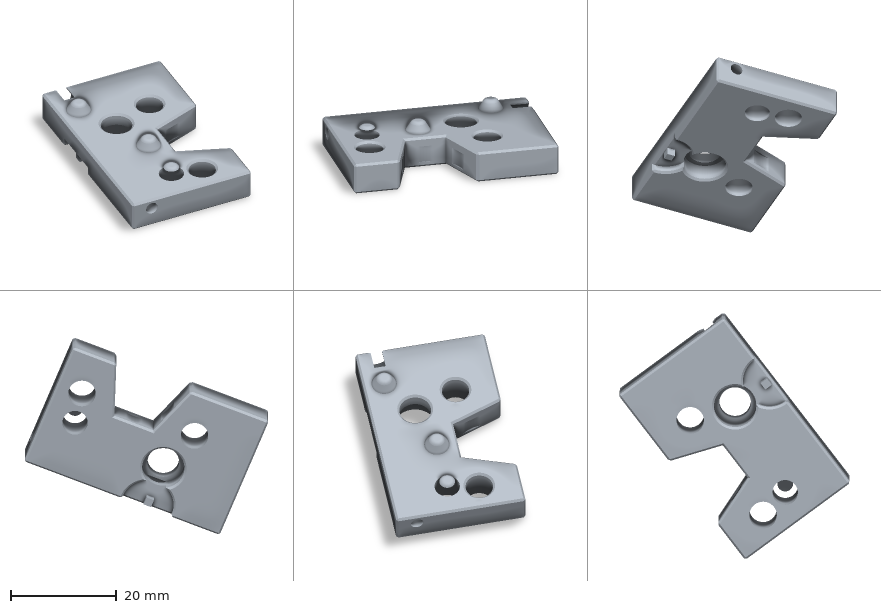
import cadquery as cq
import math

PLATE_LENGTH = 40
PLATE_WIDTH = 25.0
PLATE_HEIGHT = 6
CHAMFER = 0.4

NOTCH_X = 23.6
NOTCH_FLOOR_Y = 15.0
NOTCH_FLOOR_WIDTH = 7.9
NOTCH_WALL_ANGLE = 20

GROOVE_Y = 20.8
GROOVE_RADIUS = 6
GROOVE_BOTTOM = 1.0
GROOVE_HEIGHT = 3.2

HOLE_DIAMETER = 5.2
HOLE_Y = 17.0
HOLE_XS = (12, 35.0)

STEP_X = 15.0
STEP_Y = 8.6
STEP_TOP_DIAMETER = 6
STEP_BORE_DIAMETER = 8.05
STEP_BORE_HEIGHT = 3.5
POCKET_DIAMETER = 10
POCKET_HEIGHT = 1.5
POCKET_Y = 0.5
POST_SIZE = 1.5

LONG_HOLE_DIAMETER = 2.4
LONG_HOLE_Y = 4
LONG_HOLE_Z = 4
COUNTERBORE_DIAMETER = 4.1
COUNTERBORE_DEPTH = 4
SLOT_WIDTH = 2.2

PEG_DIAMETER = 4.8
PEG_TOP_DIAMETER = 2.4
PEG_HEIGHT = 2
PEG_FILLET = 1.0
PEG_CENTERS = ((8, 4), (24, 11.0))
TIP_CENTER = (34, 11.0)
PEG_SLOPE = math.atan2(PEG_HEIGHT, (PEG_DIAMETER - PEG_TOP_DIAMETER) / 2)
TIP_HEIGHT = PEG_FILLET * math.tan(PEG_SLOPE / 2) * math.sin(PEG_SLOPE)


def cylinder(x, y, z, diameter, height):
    """Upright cylinder with its base centre at (x, y, z)."""
    return cq.Workplane("XY", origin=(x, y, z)).circle(diameter / 2).extrude(height)


def cone_along(direction, center, start_diameter, end_diameter, height):
    """Truncated cone that runs from center along direction."""
    base = cq.Vector(*center)
    axis = cq.Vector(*direction)
    return cq.Workplane(cq.Solid.makeCone(start_diameter / 2, end_diameter / 2, height, base, axis))


def make_plate():
    """Notched plate, chamfered on every outer edge."""
    notch_depth = PLATE_WIDTH - NOTCH_FLOOR_Y
    floor_half = NOTCH_FLOOR_WIDTH / 2
    mouth_half = floor_half + notch_depth * math.tan(math.radians(NOTCH_WALL_ANGLE))
    outline = [
        (0, 0),
        (PLATE_LENGTH, 0),
        (PLATE_LENGTH, PLATE_WIDTH),
        (NOTCH_X + mouth_half, PLATE_WIDTH),
        (NOTCH_X + floor_half, NOTCH_FLOOR_Y),
        (NOTCH_X - floor_half, NOTCH_FLOOR_Y),
        (NOTCH_X - mouth_half, PLATE_WIDTH),
        (0, PLATE_WIDTH),
    ]
    plate = cq.Workplane("XY").polyline(outline).close().extrude(PLATE_HEIGHT)
    inner_corners = cq.selectors.BoxSelector(
        (NOTCH_X - mouth_half + CHAMFER, NOTCH_FLOOR_Y - CHAMFER, CHAMFER),
        (NOTCH_X + mouth_half - CHAMFER, NOTCH_FLOOR_Y + CHAMFER, PLATE_HEIGHT - CHAMFER),
    )
    return plate.edges(-inner_corners).chamfer(CHAMFER)


def rim_chamfer(x, y, diameter):
    """Cutter that chamfers the top rim of a hole."""
    return cone_along((0, 0, -1), (x, y, PLATE_HEIGHT), diameter + 2 * CHAMFER, diameter, CHAMFER)


def through_hole(x, y, diameter):
    """Cutter for a through hole with a chamfered top rim."""
    return cylinder(x, y, 0, diameter, PLATE_HEIGHT).union(rim_chamfer(x, y, diameter))


def groove():
    """Cutter for the round groove in the notch walls."""
    return cylinder(NOTCH_X, GROOVE_Y, GROOVE_BOTTOM, 2 * GROOVE_RADIUS, GROOVE_HEIGHT)


def bottom_pocket():
    """Cutter for the round front pocket: chamfered bottom rim and front mouth, a post left standing."""
    center = (STEP_X, POCKET_Y, 0)
    pocket = cylinder(*center, POCKET_DIAMETER, POCKET_HEIGHT)
    bottom_rim = cone_along((0, 0, 1), center, POCKET_DIAMETER + 2 * CHAMFER, POCKET_DIAMETER, CHAMFER)
    front_mouth = (
        cq.Workplane("XZ", origin=(STEP_X, 0, 0))
        .rect(POCKET_DIAMETER + 2 * CHAMFER, 2 * (POCKET_HEIGHT + CHAMFER))
        .extrude(-CHAMFER, taper=45)
    )
    post = cq.Workplane("XY", origin=center).box(
        POST_SIZE, POST_SIZE, POCKET_HEIGHT, centered=(True, False, False)
    )
    return pocket.union(bottom_rim).union(front_mouth).cut(post)


def stepped_hole():
    """Cutter for the stepped hole, wider in its lower part and chamfered at both ends."""
    lower_rim_diameter = STEP_BORE_DIAMETER + 2 * CHAMFER
    lower_rim = cone_along((0, 0, 1), (STEP_X, STEP_Y, 0), lower_rim_diameter, STEP_BORE_DIAMETER, CHAMFER)
    bore = cylinder(STEP_X, STEP_Y, 0, STEP_BORE_DIAMETER, STEP_BORE_HEIGHT)
    return through_hole(STEP_X, STEP_Y, STEP_TOP_DIAMETER).union(bore).union(lower_rim)


def long_hole():
    """Cutter for the hole along X, its counterbore, their chamfers and the slot through the top."""
    left_end = cq.Workplane("YZ").center(LONG_HOLE_Y, LONG_HOLE_Z)
    hole = left_end.circle(LONG_HOLE_DIAMETER / 2).extrude(PLATE_LENGTH)
    counterbore = left_end.circle(COUNTERBORE_DIAMETER / 2).extrude(COUNTERBORE_DEPTH)
    cutter = hole.union(counterbore)
    for x, diameter in ((0, COUNTERBORE_DIAMETER), (COUNTERBORE_DEPTH, LONG_HOLE_DIAMETER)):
        center = (x, LONG_HOLE_Y, LONG_HOLE_Z)
        cutter = cutter.union(cone_along((1, 0, 0), center, diameter + 2 * CHAMFER, diameter, CHAMFER))
    slot = cq.Workplane("XY", origin=(0, LONG_HOLE_Y, LONG_HOLE_Z)).box(
        COUNTERBORE_DEPTH, SLOT_WIDTH, PLATE_HEIGHT - LONG_HOLE_Z, centered=(False, True, False)
    )
    return cutter.union(slot)


def make_peg(x, y):
    """Tapered peg with a rounded top, standing on the top face of the plate."""
    peg = cone_along((0, 0, 1), (x, y, PLATE_HEIGHT), PEG_DIAMETER, PEG_TOP_DIAMETER, PEG_HEIGHT)
    return peg.faces(">Z").edges().fillet(PEG_FILLET)


def make_housing():
    """Plate with its holes and pockets, and the solid pegs on top."""
    housing = make_plate().cut(groove())
    for x in HOLE_XS:
        housing = housing.cut(through_hole(x, HOLE_Y, HOLE_DIAMETER))
    housing = housing.cut(bottom_pocket()).cut(stepped_hole()).cut(long_hole())
    housing = housing.cut(cylinder(*TIP_CENTER, 0, PEG_DIAMETER, PLATE_HEIGHT))
    for x, y in PEG_CENTERS:
        housing = housing.union(make_peg(x, y))
    return housing


def make_tip():
    """Rounded top of a peg, standing free above the open hole."""
    tip_base = PLATE_HEIGHT + PEG_HEIGHT - TIP_HEIGHT
    return make_peg(*TIP_CENTER).intersect(cylinder(*TIP_CENTER, tip_base, PEG_DIAMETER, TIP_HEIGHT))


housing = make_housing()
tip = make_tip()
result = cq.Compound.makeCompound([housing.solids().val(), tip.solids().val()])